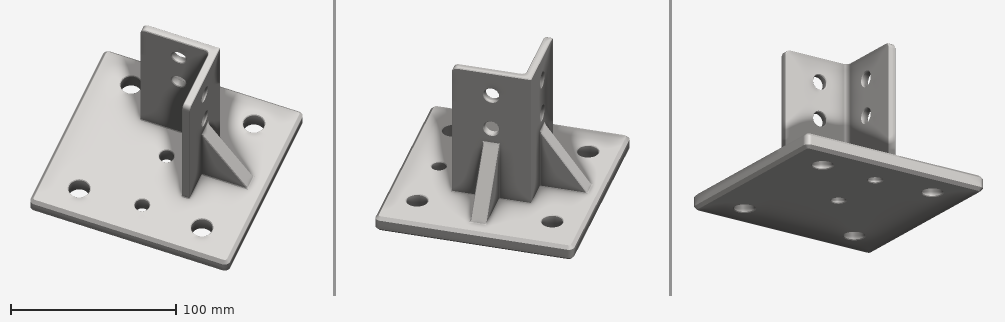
import cadquery as cq
PLATE_X = 130.0
PLATE_Y = 125.0
PLATE_THICKNESS = 10.0
PLATE_CORNER_RADIUS = 3.5
PLATE_CHAMFER = 2.0

ANCHOR_HOLE_DIAMETER = 13.0
ANCHOR_SPACING_X = 80.0
ANCHOR_SPACING_Y = 85.0
SMALL_HOLE_DIAMETER = 9.0
SMALL_HOLE_POINTS = [(0.0, 0.0), (0.0, -40.0)]

TOTAL_HEIGHT = 100.0
ANGLE_WIDTH = 50.0
ANGLE_THICKNESS = 5.0
ANGLE_INNER_RADIUS = 3.0
LEG_CORNER_RADIUS = 3.5
LEG_HOLE_DIAMETER = 9.5
LEG_HOLE_HEIGHTS = [60.0, 84.0]

RIB_WIDTH = 10.0
RIB_LENGTH = 30.0
RIB_HEIGHT = 40.0

EDGE_BREAK = 0.5
JOINT_BEVEL = 0.5
HOLE_BEVEL = 0.5

ANGLE_BACK = ANGLE_WIDTH / 2
ANGLE_INNER_FACE = ANGLE_BACK - ANGLE_THICKNESS
UPRIGHT_HEIGHT = TOTAL_HEIGHT - PLATE_THICKNESS
RIB_TIP = ANGLE_BACK + RIB_LENGTH
RIB_TOP = PLATE_THICKNESS + RIB_HEIGHT

PICK_MARGIN = 0.1


def make_plate():
    """Rounded plate with chamfered top and bottom rims."""
    plate = cq.Workplane("XY").box(PLATE_X, PLATE_Y, PLATE_THICKNESS, centered=(True, True, False))
    plate = plate.edges("|Z").fillet(PLATE_CORNER_RADIUS)
    return plate.faces("<Z or >Z").edges().chamfer(PLATE_CHAMFER)


def make_angle():
    """L-section upright with a rounded inner corner, rounded leg tips and broken edges."""
    outline = [
        (-ANGLE_BACK, ANGLE_BACK),
        (ANGLE_BACK, ANGLE_BACK),
        (ANGLE_BACK, -ANGLE_BACK),
        (ANGLE_INNER_FACE, -ANGLE_BACK),
        (ANGLE_INNER_FACE, ANGLE_INNER_FACE),
        (-ANGLE_BACK, ANGLE_INNER_FACE),
    ]
    angle = cq.Workplane("XY", origin=(0, 0, PLATE_THICKNESS)).polyline(outline).close()
    angle = angle.extrude(UPRIGHT_HEIGHT)

    inner_corner = cq.selectors.NearestToPointSelector(
        (ANGLE_INNER_FACE, ANGLE_INNER_FACE, PLATE_THICKNESS + UPRIGHT_HEIGHT / 2)
    )
    angle = angle.edges("|Z").edges(inner_corner).fillet(ANGLE_INNER_RADIUS)

    for tip_face in ("<X", "<Y"):
        angle = angle.faces(tip_face).edges(">Z").fillet(LEG_CORNER_RADIUS)

    rim = angle.faces("<Y").edges("|Z")
    rim = rim.add(angle.faces("<X").edges("|Z"))
    rim = rim.add(angle.faces(">Z").edges())
    return rim.chamfer(EDGE_BREAK)


def make_ribs():
    """Triangular ribs from the backs of the legs toward +X and +Y, rooted inside the legs."""
    root = ANGLE_BACK - ANGLE_THICKNESS / 2
    profile = [
        (root, PLATE_THICKNESS),
        (RIB_TIP, PLATE_THICKNESS),
        (ANGLE_BACK, RIB_TOP),
        (root, RIB_TOP),
    ]
    x_rib = cq.Workplane("XZ").polyline(profile).close().extrude(RIB_WIDTH / 2, both=True)
    y_rib = x_rib.rotate((0, 0, 0), (0, 0, 1), 90)
    return x_rib.union(y_rib)


def edges_beside_ribs(near, far):
    """Select edges centred near mid-height of either rib, from near to far out along it."""
    side = RIB_WIDTH / 2 + PICK_MARGIN
    bottom = PLATE_THICKNESS + RIB_HEIGHT / 4
    top = RIB_TOP - RIB_HEIGHT / 4
    x_rib_edges = cq.selectors.BoxSelector((near, -side, bottom), (far, side, top))
    y_rib_edges = cq.selectors.BoxSelector((-side, near, bottom), (side, far, top))
    return x_rib_edges + y_rib_edges


def bevel_joints(body):
    """Bevel the inner joints where the angle and ribs meet the plate and each other."""
    reach = RIB_TIP + PICK_MARGIN
    foot_edges = cq.selectors.BoxSelector(
        (-reach, -reach, PLATE_THICKNESS - PICK_MARGIN),
        (reach, reach, PLATE_THICKNESS + PICK_MARGIN),
    )
    upright_edges = edges_beside_ribs(ANGLE_BACK - PICK_MARGIN, ANGLE_BACK + PICK_MARGIN)
    return body.edges(foot_edges + upright_edges).chamfer(JOINT_BEVEL)


def break_rib_slopes(body):
    """Break the two long sloping edges of each rib, once the joints around them are bevelled."""
    slope_edges = edges_beside_ribs(ANGLE_BACK + RIB_LENGTH / 4, RIB_TIP)
    return body.edges(slope_edges).chamfer(EDGE_BREAK)


def hole_cutter(diameter, depth):
    """Cylinder along +Z from the origin, flared by the hole bevel at both ends."""
    radius = diameter / 2
    profile = [
        (0, 0),
        (radius + HOLE_BEVEL, 0),
        (radius, HOLE_BEVEL),
        (radius, depth - HOLE_BEVEL),
        (radius + HOLE_BEVEL, depth),
        (0, depth),
    ]
    return cq.Workplane("XZ").polyline(profile).close().revolve(axisEnd=(0, 1))


def cut_plate_holes(body):
    """Four anchor holes in a rectangle and the small holes on the Y axis."""
    anchor_cutter = hole_cutter(ANCHOR_HOLE_DIAMETER, PLATE_THICKNESS)
    for x in (-ANCHOR_SPACING_X / 2, ANCHOR_SPACING_X / 2):
        for y in (-ANCHOR_SPACING_Y / 2, ANCHOR_SPACING_Y / 2):
            body = body.cut(anchor_cutter.translate((x, y, 0)))

    small_cutter = hole_cutter(SMALL_HOLE_DIAMETER, PLATE_THICKNESS)
    for x, y in SMALL_HOLE_POINTS:
        body = body.cut(small_cutter.translate((x, y, 0)))
    return body


def cut_leg_holes(body):
    """Two holes through the middle of each leg."""
    cutter = hole_cutter(LEG_HOLE_DIAMETER, ANGLE_THICKNESS)
    along_x = cutter.rotate((0, 0, 0), (0, 1, 0), 90)
    along_y = cutter.rotate((0, 0, 0), (1, 0, 0), -90)
    for z in LEG_HOLE_HEIGHTS:
        body = body.cut(along_x.translate((ANGLE_INNER_FACE, 0, z)))
        body = body.cut(along_y.translate((0, ANGLE_INNER_FACE, z)))
    return body


body = make_plate().union(make_angle()).union(make_ribs())
body = bevel_joints(body)
body = break_rib_slopes(body)
body = cut_plate_holes(body)
result = cut_leg_holes(body)